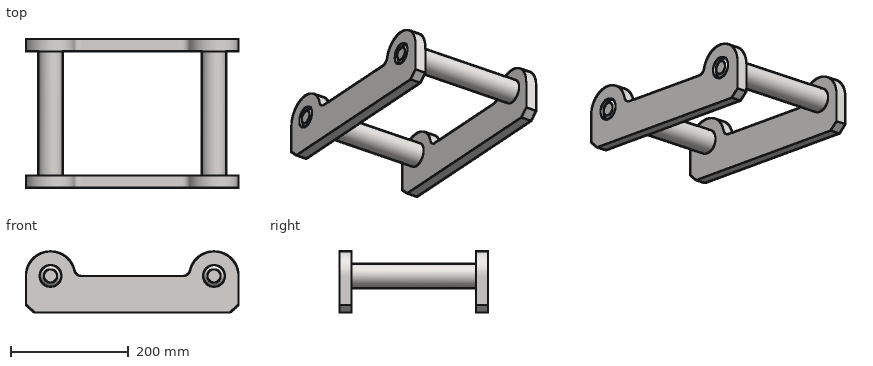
import cadquery as cq
import math

length = 361.5
width = 252.5
plate_thickness = 21.0

lug_radius = 42.0
pin_height = 62.0
saddle_fillet = 12.3
corner_cut_x = 14.5
corner_cut_z = 13.0

pin_radius = 21.0
journal_radius = 18.5
tip_radius = 11.2
tip_bevel_depth = 7.2

half_length = length / 2
half_width = width / 2
pin_x = half_length - lug_radius
inner_half_width = half_width - plate_thickness

fillet_centre_angle = math.asin(saddle_fillet / (lug_radius + saddle_fillet))
fillet_offset = (lug_radius + saddle_fillet) * math.cos(fillet_centre_angle)
fillet_x = pin_x - fillet_offset
fillet_z = pin_height + saddle_fillet


def point_on_arc(centre_x, centre_z, radius, angle):
    return (centre_x + radius * math.cos(angle), centre_z + radius * math.sin(angle))


def mirrored(point):
    return (-point[0], point[1])


def make_side_plate(back_y):
    """Plate with two round lugs, filleted saddle, cut bottom corners and two pin holes."""
    lug_top = (pin_x, pin_height + lug_radius)
    lug_end = point_on_arc(pin_x, pin_height, lug_radius, math.pi - fillet_centre_angle)
    fillet_mid_angle = -(math.pi / 2 + fillet_centre_angle) / 2
    fillet_mid = point_on_arc(fillet_x, fillet_z, saddle_fillet, fillet_mid_angle)
    saddle_end = (fillet_x, pin_height)
    side_top = (half_length, pin_height)
    side_bottom = (half_length, corner_cut_z)
    base_end = (half_length - corner_cut_x, 0)

    plate = (
        cq.Workplane("XZ", origin=(0, back_y, 0))
        .moveTo(*mirrored(base_end))
        .lineTo(*base_end)
        .lineTo(*side_bottom)
        .lineTo(*side_top)
        .threePointArc(lug_top, lug_end)
        .threePointArc(fillet_mid, saddle_end)
        .lineTo(*mirrored(saddle_end))
        .threePointArc(mirrored(fillet_mid), mirrored(lug_end))
        .threePointArc(mirrored(lug_top), mirrored(side_top))
        .lineTo(*mirrored(side_bottom))
        .close()
        .extrude(plate_thickness)
    )
    holes = (
        cq.Workplane("XZ", origin=(0, back_y, 0))
        .pushPoints([(-pin_x, pin_height), (pin_x, pin_height)])
        .circle(journal_radius)
        .extrude(plate_thickness)
    )
    return plate.cut(holes)


def make_cross_pin(centre_x):
    """Shouldered pin whose journals fill the plate holes and end in bevelled, flush tips."""
    bevel_start = half_width - tip_bevel_depth
    return (
        cq.Workplane("XY")
        .moveTo(0, -half_width)
        .lineTo(tip_radius, -half_width)
        .lineTo(journal_radius, -bevel_start)
        .lineTo(journal_radius, -inner_half_width)
        .lineTo(pin_radius, -inner_half_width)
        .lineTo(pin_radius, inner_half_width)
        .lineTo(journal_radius, inner_half_width)
        .lineTo(journal_radius, bevel_start)
        .lineTo(tip_radius, half_width)
        .lineTo(0, half_width)
        .close()
        .revolve(360, (0, 0, 0), (0, 1, 0))
        .translate((centre_x, 0, pin_height))
    )


side_plates = [make_side_plate(back_y) for back_y in (-inner_half_width, half_width)]
cross_pins = [make_cross_pin(centre_x) for centre_x in (-pin_x, pin_x)]

result = cq.Compound.makeCompound([body.val() for body in side_plates + cross_pins])